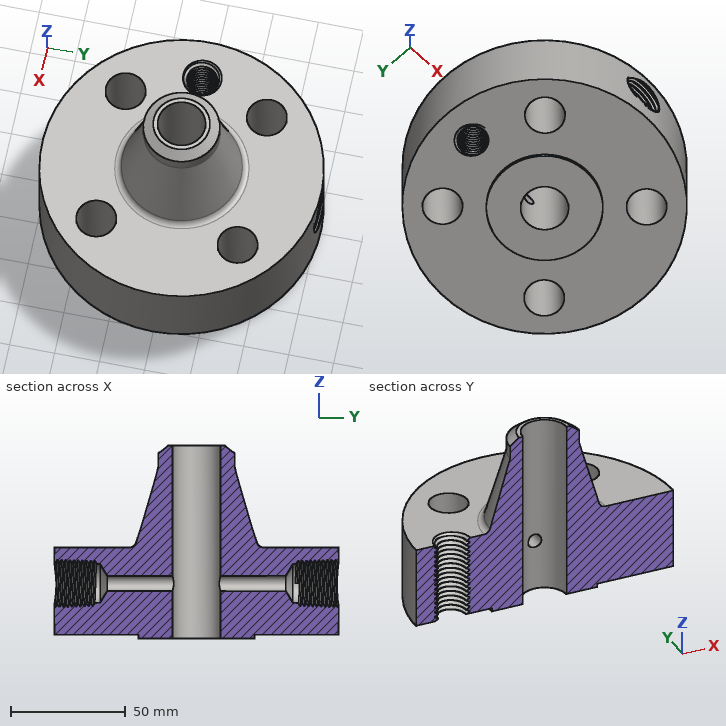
import cadquery as cq
import math


inch = 25.4

flange_diameter = 124.0
flange_thickness = 38.1
raised_face_diameter = 50.8
raised_face_height = 1.6
flange_top = raised_face_height + flange_thickness

overall_height = 84.07
bore_diameter = 20.9
neck_diameter = 33.4
hub_base_diameter = 54.0
hub_fillet_radius = 3.0
neck_length = 9.4
land_width = 1.9
bevel_angle = 37.5

bolt_circle_diameter = 88.9
bolt_hole_diameter = 17.5
bolt_hole_count = 4
first_bolt_angle = 45.0

jack_minor_diameter = 13.3
jack_thread_depth = 1.8
jack_countersink_diameter = 17.0
jack_countersink_angle = 90.0
jack_pitch = inch / 11
jack_runout = 1.5 * jack_pitch

tap_height = 24.0
tap_minor_diameter = 18.1
tap_thread_depth = 1.35
tap_pitch = inch / 14
tap_depth = 20.0
tap_taper = 1 / 16
drill_point_angle = 118.0
tap_bore_diameter = 6.4

straight_helix = 360.0
thread_flank_angle = 30.0
groove_overlap = 0.1


def make_body():
    """Disc, raised face and weld neck, revolved about Z without the bore."""
    neck_radius = neck_diameter / 2
    land_radius = bore_diameter / 2 + land_width
    bevel_height = (neck_radius - land_radius) * math.tan(math.radians(bevel_angle))
    neck_bottom = overall_height - neck_length

    hub_radius = hub_base_diameter / 2
    cone_half_angle = math.atan2(hub_radius - neck_radius, neck_bottom - flange_top)
    turn = math.pi / 2 - cone_half_angle
    tangent_length = hub_fillet_radius * math.tan(turn / 2)
    fillet_center = (hub_radius + tangent_length, flange_top + hub_fillet_radius)
    fillet_start = (hub_radius + tangent_length, flange_top)
    fillet_middle = (
        fillet_center[0] - hub_fillet_radius * math.sin(turn / 2),
        fillet_center[1] - hub_fillet_radius * math.cos(turn / 2),
    )
    fillet_end = (
        hub_radius - tangent_length * math.sin(cone_half_angle),
        flange_top + tangent_length * math.cos(cone_half_angle),
    )

    return (
        cq.Workplane("XZ")
        .moveTo(0, 0)
        .lineTo(raised_face_diameter / 2, 0)
        .lineTo(raised_face_diameter / 2, raised_face_height)
        .lineTo(flange_diameter / 2, raised_face_height)
        .lineTo(flange_diameter / 2, flange_top)
        .lineTo(*fillet_start)
        .threePointArc(fillet_middle, fillet_end)
        .lineTo(neck_radius, neck_bottom)
        .lineTo(neck_radius, overall_height - bevel_height)
        .lineTo(land_radius, overall_height)
        .lineTo(0, overall_height)
        .close()
        .revolve(360, (0, 0, 0), (0, 1, 0))
    )


def make_bore():
    return cq.Workplane("XY").circle(bore_diameter / 2).extrude(overall_height)


def make_bolt_holes():
    return (
        cq.Workplane("XY")
        .polarArray(bolt_circle_diameter / 2, first_bolt_angle, 360, bolt_hole_count)
        .circle(bolt_hole_diameter / 2)
        .extrude(flange_top)
    )


def make_thread_groove(start_radius, depth, pitch, length, cone_angle=straight_helix):
    """V groove on a helix that climbs +Z from Z = 0, widening by cone_angle degrees."""
    helix = cq.Wire.makeHelix(pitch, length, start_radius, angle=cone_angle)
    half_width = (depth + groove_overlap) * math.tan(math.radians(thread_flank_angle))
    inner_radius = start_radius - groove_overlap
    profile = (
        cq.Workplane("XZ")
        .moveTo(inner_radius, -half_width)
        .lineTo(start_radius + depth, 0)
        .lineTo(inner_radius, half_width)
        .close()
    )
    return profile.sweep(cq.Workplane(helix), isFrenet=True)


def cut_jack_screw_hole(body):
    """Threaded through hole on the -X side of the pitch circle."""
    radius = jack_minor_diameter / 2
    length = flange_thickness + 2 * jack_runout
    bottom = (-bolt_circle_diameter / 2, 0, raised_face_height - jack_runout)
    groove = make_thread_groove(radius, jack_thread_depth, jack_pitch, length)
    drill = cq.Workplane("XY").circle(radius).extrude(length)
    body = body.cut(groove.translate(bottom)).cut(drill.translate(bottom))

    mouth_radius = jack_countersink_diameter / 2
    cone_height = mouth_radius / math.tan(math.radians(jack_countersink_angle / 2))
    mouth = cq.Vector(bottom[0], bottom[1], flange_top)
    countersink = cq.Solid.makeCone(mouth_radius, 0, cone_height, mouth, cq.Vector(0, 0, -1))
    return body.cut(cq.Workplane(countersink))


def make_tap_drill():
    """Tapered drill, drill point and small hole; the mouth is at Z = 0, inward is -Z."""
    mouth_radius = tap_minor_diameter / 2
    bottom_radius = mouth_radius - tap_depth * tap_taper / 2
    small_radius = tap_bore_diameter / 2
    point_height = (bottom_radius - small_radius) / math.tan(math.radians(drill_point_angle / 2))
    bore_axis = -flange_diameter / 2
    return (
        cq.Workplane("XZ")
        .moveTo(0, 0)
        .lineTo(mouth_radius, 0)
        .lineTo(bottom_radius, -tap_depth)
        .lineTo(small_radius, -tap_depth - point_height)
        .lineTo(small_radius, bore_axis)
        .lineTo(0, bore_axis)
        .close()
        .revolve(360, (0, 0, 0), (0, 1, 0))
    )


def make_tap_groove():
    """Tapered thread groove; it stops one pitch above the drill point and runs out at the mouth."""
    start_depth = tap_depth - tap_pitch
    start_radius = tap_minor_diameter / 2 - start_depth * tap_taper / 2
    length = start_depth + tap_pitch
    cone_angle = math.degrees(math.atan(tap_taper / 2))
    groove = make_thread_groove(start_radius, tap_thread_depth, tap_pitch, length, cone_angle)
    return groove.translate((0, 0, -start_depth))


def cut_pressure_taps(body):
    """One tap on the -Y side and an identical one turned half a revolution to +Y."""
    for tool in (make_tap_groove(), make_tap_drill()):
        placed = tool.rotate((0, 0, 0), (1, 0, 0), 90).translate((0, -flange_diameter / 2, tap_height))
        for turn in (0, 180):
            body = body.cut(placed.rotate((0, 0, 0), (0, 0, 1), turn))
    return body


result = make_body().cut(make_bore()).cut(make_bolt_holes())
result = cut_jack_screw_hole(result)
result = cut_pressure_taps(result)